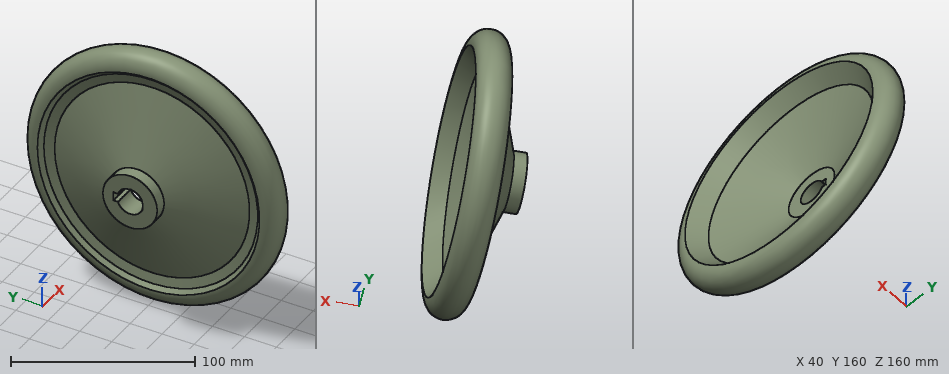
import cadquery as cq

wheel_radius = 80.0
wheel_width = 40.0

rim_section_radius = 10.0
rim_center_radius = wheel_radius - rim_section_radius
rim_center_x = wheel_width - rim_section_radius

recess_outer_radius = 69.5
recess_step_radius = 66.9
recess_step_x = 22.5

hub_radius = 34.0 / 2
hub_length = 7.5
web_outer_radius = 61.0
web_outer_x = 24.0
web_thickness = 6.4

bore_radius = 8.0
keyway_width = 5.3
keyway_reach = 10.4


def make_wheel():
    """Revolve the half section, sketched as (X, radius), about the X axis."""
    rim_offset = rim_center_radius - recess_outer_radius
    rim_start_x = rim_center_x - (rim_section_radius**2 - rim_offset**2) ** 0.5
    section = (
        cq.Workplane("XY")
        .moveTo(0, 0)
        .lineTo(0, hub_radius)
        .lineTo(hub_length, hub_radius)
        .lineTo(web_outer_x, web_outer_radius)
        .lineTo(recess_step_x, recess_step_radius)
        .lineTo(rim_start_x, recess_outer_radius)
        .threePointArc((rim_center_x, wheel_radius), (wheel_width, rim_center_radius))
        .lineTo(wheel_width, recess_outer_radius)
        .lineTo(web_outer_x + web_thickness, web_outer_radius)
        .lineTo(hub_length + web_thickness, hub_radius)
        .lineTo(hub_length + web_thickness, 0)
        .close()
    )
    return section.revolve(360, (0, 0, 0), (1, 0, 0))


def make_bore():
    """Through bore with a keyway on the +Y side."""
    bore = cq.Workplane("YZ").circle(bore_radius).extrude(wheel_width)
    keyway = (
        cq.Workplane("YZ")
        .center(keyway_reach / 2, 0)
        .rect(keyway_reach, keyway_width)
        .extrude(wheel_width)
    )
    return bore.union(keyway)


result = make_wheel().cut(make_bore())